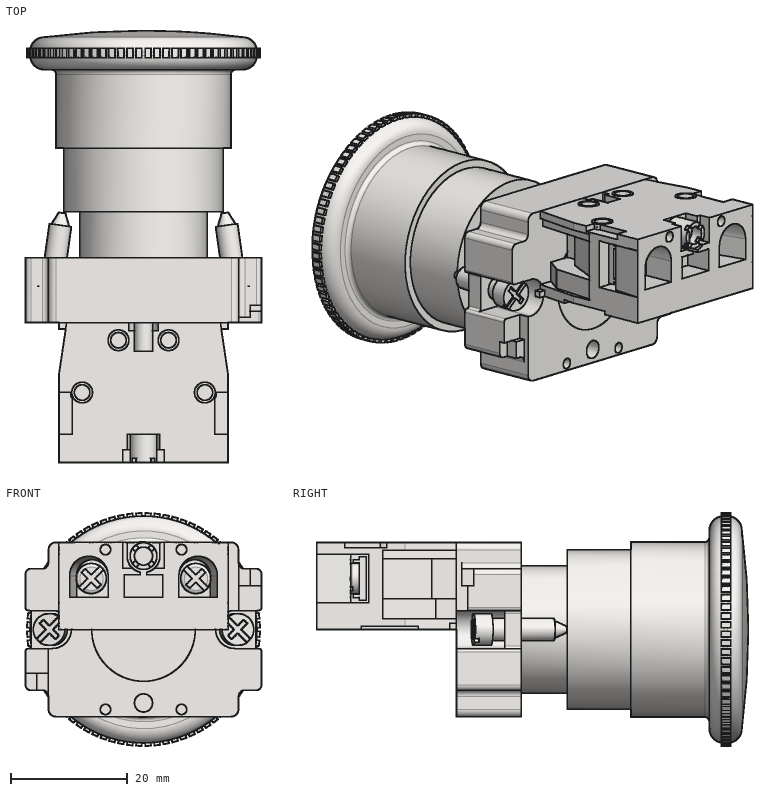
import cadquery as cq
import math


CAP_R = 19.45
RIM_ROUND = 2.5
CAP_BACK_Y = 43.3
CAP_SHOULDER_Y = 48.9
CAP_TOP_Y = 50.0
SKIRT_R = 15.0
SKIRT_END_Y = 29.9
SKIRT_FILLET = 0.75
KNURL_R = 20.0
KNURL_Y = 45.35
KNURL_WIDTH = 1.6
KNURL_TEETH = 80
KNURL_ROOT = 0.4
TOOTH_SHARE = 0.65

SHOULDER_R = 13.7
SHOULDER_END_Y = 18.95
NECK_R = 10.95
STEM_R = 8.9

BASE_DEPTH = 11.1
BASE_HALF_X = 16.3
BASE_HALF_Z = 14.95
EAR_HALF_X = 40.5 / 2
EAR_HALF_Z = 10.4
BASE_CORNER_R = 1.25
EAR_CORNER_R = 0.95
EAR_INNER_R = 1.0
SLOT_HALF_Z = 3.25
SLOT_CENTRE_X = 15.6
SLOT_CORNER_R = 0.5
PLATE_CORNER_R = 0.45
SLOT_FLOOR_Y = 8.3
CUT_MARGIN = 0.75
PLATE_HALF_X = 19.25
EAR_CUT_Y = 1.9
EAR_STEP_Z = 7.5
EAR_STEP_X = 18.3
EAR_CORNER_CUT_Y = 2.95
EAR_LIP_Y = 0.9

CLAMP_TILT = 8.0
CLAMP_X = 15.0
CLAMP_HEAD_R = 2.75
CLAMP_HEAD_H = 3.0
CLAMP_HEAD_FRONT = -8.3
CLAMP_SHANK_R = 1.9
CLAMP_SHANK_END = 5.6
CLAMP_POINT_END = 7.8
CLAMP_POINT_R = (1.55, 0.6)

CROSS_WIDTH = 0.9
CROSS_SHORT = 3.85
CROSS_DEPTH = 0.75

PIN_HOLE_R = 0.9
PIN_HOLE_X = 6.5
PIN_HOLE_Z = 13.7
PIN_HOLE_DEPTH = 1.85
FIXING_Z = 12.6
FIXING_R = 1.55
FIXING_HOLE_DEPTH = 5.55

BLOCK_HALF_X = 14.5
BLOCK_REAR_HALF_X = 13.2
BLOCK_LENGTH = 24.0
BLOCK_TAPER_LENGTH = 8.9
BLOCK_HEIGHT = BASE_HALF_Z
BOTTOM_PLATE = 1.85
TOP_PLATE = 1.3
SIDE_POCKET_LENGTH = 12.65
CORE_HALF_X = (12.6, 14.05)
UPPER_POCKET_Z = (5.25, 12.1)
UPPER_POCKET_END_X = 13.3
UPPER_POCKET_STEP = (6.45, 9.1, 4.2)
LOWER_TAPER = (10.5, 12.95, 3.55)
EDGE_NOTCH_WIDTH = 2.3
EDGE_NOTCH_Y = (-19.2, -11.9)
EDGE_NOTCH_DEPTH = 0.95
FOOT_NOTCH_Y = (-16.3, -6.5)
FOOT_NOTCH_DEPTH = 0.6
TAB_LENGTH = 1.1
TAB_HEIGHT = 1.0
RIVETS = ((10.5, -12.0), (4.3, -3.0))
RIVET_R = 1.3
RIVET_RING_R = 1.8
RIVET_RING_DEPTH = 0.6
RIVET_BOSS_R = 2.0

FIXING_HEAD_R = 2.3
FIXING_HEAD_Y = -19.2
FIXING_SOCKET_DEPTH = 2.2
FIXING_SLOT_HALF_X = 2.8
FIXING_MOUTH_HALF_X = 3.55
FIXING_MOUTH_Y = -21.8
FIXING_MOUTH_Z = 10.5
FIXING_SHAFT_END_Y = -4.95
FIXING_REAR_HALF_X = 2.5
FIXING_REAR_DEPTH = 1.4
WINDOW_HALF_X = 3.3
WINDOW_Z = (5.55, 9.4)
WINDOW_DEPTH = 4.8
SLIT_HALF_X = 0.6

TERMINAL_Z = 8.7
TERMINAL_X = 8.95
TERMINAL_HEAD_R = 2.6
TERMINAL_HEAD_ROUND = 0.6
TERMINAL_HEAD_Y = -18.5
CLAMP_PLATE_HALF = 3.7
CLAMP_PLATE_Y = (-16.65, -15.5)
LIP_X = (11.7, 12.65)
LIP_Z = (2.7, 3.25)
LIP_FRONT_Y = -17.7
TERMINAL_POCKET_Y = (-18.1, -15.0)
TERMINAL_POCKET_Z = (4.6, 12.9)
TERMINAL_POCKET_X = 5.2
RAMP_DEPTH = 0.75
MOUTH_INNER_X = 6.1
MOUTH_WIDTH = 6.6
MOUTH_NARROWING = 1.2
MOUTH_FLOOR_Z = 5.55
MOUTH_SPRING_Z = 9.25


def box(x, y, z):
    """Box between the given pairs of limits."""
    return (
        cq.Workplane("XY")
        .box(x[1] - x[0], y[1] - y[0], z[1] - z[0], centered=False)
        .translate((x[0], y[0], z[0]))
    )


def cylinder(radius, x, z, y_start, y_end):
    """Cylinder along Y with its axis at (x, z)."""
    start = cq.Vector(x, y_start, z)
    return cq.Workplane(cq.Solid.makeCylinder(radius, y_end - y_start, start, cq.Vector(0, 1, 0)))


def revolved(points):
    """Solid of revolution about Y from (radius, y) points."""
    return cq.Workplane("XY").polyline(points).close().revolve(360, (0, 0, 0), (0, 1, 0))


def prism_xy(points, z):
    """Outline in X and Y, extruded between two heights."""
    return cq.Workplane("XY").workplane(offset=z[0]).polyline(points).close().extrude(z[1] - z[0])


def round_edges(body, x, z, radius):
    """Round the edges of a body that pass through the four points (+-x, +-z) along Y."""
    near = 0.1
    for side in (-x, x):
        for height in (-z, z):
            selector = cq.selectors.BoxSelector(
                (side - near, 0, height - near), (side + near, BASE_DEPTH, height + near)
            )
            body = body.edges(selector).edges("|Y").fillet(radius)
    return body


def mirrored(shape):
    """The shape together with its mirror image across the plane x = 0."""
    return shape.union(shape.mirror("YZ"))


def cross_recess(long_arm):
    """Cross tool for a screw head facing -Y, with its mouth at the origin."""
    recess = cq.Workplane("XY")
    for length, angle in ((long_arm, -45), (CROSS_SHORT, 45)):
        arm = cq.Workplane("XY").box(length, CROSS_DEPTH, CROSS_WIDTH, centered=(True, False, True))
        recess = recess.union(arm.rotate((0, 0, 0), (0, 1, 0), angle))
    return recess


def knurl_ring():
    """Toothed ring with a gap, not a tooth, on each main axis."""
    pitch = 2 * math.pi / KNURL_TEETH
    half_tooth = pitch * TOOTH_SHARE / 2
    root_r = CAP_R - KNURL_ROOT
    points = []
    for tooth in range(KNURL_TEETH):
        middle = (tooth + 0.5) * pitch
        for radius, angle in (
            (root_r, middle - half_tooth),
            (KNURL_R, middle - half_tooth),
            (KNURL_R, middle + half_tooth),
            (root_r, middle + half_tooth),
        ):
            points.append((radius * math.cos(angle), radius * math.sin(angle)))
    ring = cq.Workplane("XZ").polyline(points).close().extrude(-KNURL_WIDTH)
    return ring.translate((0, KNURL_Y, 0))


def make_cap():
    flat_r = CAP_R - RIM_ROUND
    diagonal = RIM_ROUND * math.sqrt(0.5)
    back_round_y = CAP_BACK_Y + RIM_ROUND
    front_round_y = CAP_SHOULDER_Y - RIM_ROUND
    fillet_y = CAP_BACK_Y - SKIRT_FILLET
    fillet_mid = SKIRT_FILLET * (1 - math.sqrt(0.5))
    dome_rise = CAP_TOP_Y - CAP_SHOULDER_Y
    dome_r = (flat_r**2 + dome_rise**2) / (2 * dome_rise)
    dome_mid_r = flat_r / 2
    dome_mid_y = CAP_TOP_Y - dome_r + math.sqrt(dome_r**2 - dome_mid_r**2)
    profile = (
        cq.Workplane("XY")
        .moveTo(0, SKIRT_END_Y)
        .lineTo(SKIRT_R, SKIRT_END_Y)
        .lineTo(SKIRT_R, fillet_y)
        .threePointArc(
            (SKIRT_R + fillet_mid, CAP_BACK_Y - fillet_mid),
            (SKIRT_R + SKIRT_FILLET, CAP_BACK_Y),
        )
        .lineTo(flat_r, CAP_BACK_Y)
        .threePointArc((flat_r + diagonal, back_round_y - diagonal), (CAP_R, back_round_y))
        .lineTo(CAP_R, front_round_y)
        .threePointArc((flat_r + diagonal, front_round_y + diagonal), (flat_r, CAP_SHOULDER_Y))
        .threePointArc((dome_mid_r, dome_mid_y), (0, CAP_TOP_Y))
        .close()
    )
    return profile.revolve(360, (0, 0, 0), (0, 1, 0)).union(knurl_ring())


def make_collar():
    return revolved([
        (0, 0),
        (STEM_R, 0),
        (STEM_R, BASE_DEPTH),
        (NECK_R, BASE_DEPTH),
        (NECK_R, SHOULDER_END_Y),
        (SHOULDER_R, SHOULDER_END_Y),
        (SHOULDER_R, SKIRT_END_Y),
        (0, SKIRT_END_Y),
    ])


def base_body():
    depth = (0, BASE_DEPTH)
    middle = box((-BASE_HALF_X, BASE_HALF_X), depth, (-BASE_HALF_Z, BASE_HALF_Z))
    middle = middle.edges("|Y").fillet(BASE_CORNER_R)
    ears = box((-EAR_HALF_X, EAR_HALF_X), depth, (-EAR_HALF_Z, EAR_HALF_Z))
    ears = ears.edges("|Y").fillet(EAR_CORNER_R)
    body = middle.union(ears)
    return round_edges(body, BASE_HALF_X, EAR_HALF_Z, EAR_INNER_R)


def screw_slot():
    """Slot for the right clamping screw, with the plate left standing at its back."""
    outside = EAR_HALF_X + CUT_MARGIN
    slot = cylinder(SLOT_HALF_Z, SLOT_CENTRE_X, 0, 0, SLOT_FLOOR_Y)
    slot = slot.union(
        box((SLOT_CENTRE_X, outside), (0, SLOT_FLOOR_Y), (-SLOT_HALF_Z, SLOT_HALF_Z))
    )
    return slot.union(box((PLATE_HALF_X, outside), (0, BASE_DEPTH), (-SLOT_HALF_Z, SLOT_HALF_Z)))


def ear_cut():
    """Stepped cut in the front of the upper right ear."""
    outside = EAR_HALF_X + CUT_MARGIN
    top = EAR_HALF_Z + CUT_MARGIN
    ledge = box((BASE_HALF_X, outside), (0, EAR_CUT_Y), (SLOT_HALF_Z, EAR_STEP_Z))
    corner = box((EAR_STEP_X, outside), (0, EAR_CORNER_CUT_Y), (EAR_STEP_Z, top))
    lip = box((BASE_HALF_X, EAR_STEP_X), (0, EAR_LIP_Y), (EAR_STEP_Z, top + EAR_INNER_R))
    return ledge.union(corner).union(lip)


def clamp_screw():
    """Right clamping screw, tilted in place."""
    head_back = CLAMP_HEAD_FRONT + CLAMP_HEAD_H
    screw = revolved([
        (0, CLAMP_HEAD_FRONT),
        (CLAMP_HEAD_R, CLAMP_HEAD_FRONT),
        (CLAMP_HEAD_R, head_back),
        (CLAMP_SHANK_R, head_back),
        (CLAMP_SHANK_R, CLAMP_SHANK_END),
        (CLAMP_POINT_R[0], CLAMP_SHANK_END),
        (CLAMP_POINT_R[1], CLAMP_POINT_END),
        (0, CLAMP_POINT_END),
    ])
    recess = cross_recess(2 * CLAMP_HEAD_R).mirror("YZ")
    screw = screw.cut(recess.translate((0, CLAMP_HEAD_FRONT, 0)))
    screw = screw.rotate((0, 0, 0), (0, 0, 1), CLAMP_TILT)
    return screw.translate((CLAMP_X, BASE_DEPTH, 0))


def make_base():
    base = base_body().cut(mirrored(screw_slot()))
    base = round_edges(base, EAR_HALF_X, SLOT_HALF_Z, SLOT_CORNER_R)
    base = round_edges(base, PLATE_HALF_X, SLOT_HALF_Z, PLATE_CORNER_R)
    upper_right = ear_cut()
    base = base.cut(upper_right).cut(upper_right.rotate((0, 0, 0), (0, 1, 0), 180))
    base = base.cut(cylinder(STEM_R, 0, 0, 0, BASE_DEPTH))
    base = base.cut(cylinder(FIXING_R, 0, -FIXING_Z, 0, FIXING_HOLE_DEPTH))
    base = base.cut(mirrored(cylinder(PIN_HOLE_R, PIN_HOLE_X, -PIN_HOLE_Z, 0, PIN_HOLE_DEPTH)))
    return base.union(mirrored(clamp_screw()))


def tapered_plate(z):
    """Full outline of the block, narrowing towards the base."""
    right = [
        (BLOCK_HALF_X, -BLOCK_LENGTH),
        (BLOCK_HALF_X, -BLOCK_TAPER_LENGTH),
        (BLOCK_REAR_HALF_X, 0),
    ]
    left = [(-x, y) for x, y in reversed(right)]
    return prism_xy(right + left, z)


def block_body():
    top_plate_z = BLOCK_HEIGHT - TOP_PLATE
    body = tapered_plate((0, BOTTOM_PLATE)).union(tapered_plate((top_plate_z, BLOCK_HEIGHT)))
    front = box(
        (-BLOCK_HALF_X, BLOCK_HALF_X), (-BLOCK_LENGTH, -SIDE_POCKET_LENGTH), (0, BLOCK_HEIGHT)
    )
    rear_x, front_x = CORE_HALF_X
    core = prism_xy(
        [
            (-rear_x, 0),
            (-front_x, -SIDE_POCKET_LENGTH),
            (front_x, -SIDE_POCKET_LENGTH),
            (rear_x, 0),
        ],
        (0, top_plate_z),
    )
    return body.union(front).union(core)


def side_pocket():
    """Stepped hollow in the right side of the block next to the base."""
    inner_x, outer_x, step = UPPER_POCKET_STEP
    upper = prism_xy(
        [
            (BLOCK_HALF_X, 0),
            (inner_x, 0),
            (inner_x, -step),
            (outer_x, -step),
            (UPPER_POCKET_END_X, -SIDE_POCKET_LENGTH),
            (BLOCK_HALF_X, -SIDE_POCKET_LENGTH),
        ],
        UPPER_POCKET_Z,
    )
    taper_start, taper_end, taper_length = LOWER_TAPER
    lower = prism_xy(
        [(taper_start, 0), (taper_end, -taper_length), (BLOCK_HALF_X, -taper_length), (BLOCK_HALF_X, 0)],
        (BOTTOM_PLATE, UPPER_POCKET_Z[0]),
    )
    return upper.union(lower)


def edge_notches():
    """Shallow notches along the right upper and lower edges."""
    x = (BLOCK_HALF_X - EDGE_NOTCH_WIDTH, BLOCK_HALF_X)
    upper = box(x, EDGE_NOTCH_Y, (BLOCK_HEIGHT - EDGE_NOTCH_DEPTH, BLOCK_HEIGHT))
    lower = box(x, FOOT_NOTCH_Y, (0, FOOT_NOTCH_DEPTH))
    rivet_x, rivet_y = RIVETS[0]
    boss = cq.Workplane("XY").center(rivet_x, rivet_y).circle(RIVET_BOSS_R).extrude(BLOCK_HEIGHT)
    return upper.cut(boss).union(lower)


def rivet_rings():
    """Ring grooves around the rivet heads on the right half of the top face."""
    return (
        cq.Workplane("XY")
        .workplane(offset=BLOCK_HEIGHT - RIVET_RING_DEPTH)
        .pushPoints(RIVETS)
        .circle(RIVET_RING_R)
        .circle(RIVET_R)
        .extrude(RIVET_RING_DEPTH)
    )


def locating_tab():
    """Small tab at the lower right corner next to the base."""
    return box((BLOCK_REAR_HALF_X, BLOCK_HALF_X), (-TAB_LENGTH, 0), (0, TAB_HEIGHT))


def fixing_cavity():
    """Openings around the fixing screw and the window below it."""
    front = -BLOCK_LENGTH
    above = (FIXING_Z, BLOCK_HEIGHT)
    side = FIXING_SLOT_HALF_X
    mouth = FIXING_MOUTH_HALF_X
    rear = FIXING_REAR_HALF_X
    cavity = cylinder(side, 0, FIXING_Z, front, FIXING_HEAD_Y)
    cavity = cavity.union(box((-side, side), (front, FIXING_HEAD_Y), above))
    cavity = cavity.union(
        box((-mouth, mouth), (front, FIXING_MOUTH_Y), (FIXING_MOUTH_Z, BLOCK_HEIGHT))
    )
    cavity = cavity.union(box((-FIXING_R, FIXING_R), (FIXING_SHAFT_END_Y, 0), above))
    cavity = cavity.union(cylinder(rear, 0, FIXING_Z, -FIXING_REAR_DEPTH, 0))
    cavity = cavity.union(box((-rear, rear), (-FIXING_REAR_DEPTH, 0), above))
    window_y = (front, front + WINDOW_DEPTH)
    cavity = cavity.union(box((-WINDOW_HALF_X, WINDOW_HALF_X), window_y, WINDOW_Z))
    slit_z = (WINDOW_Z[1], FIXING_MOUTH_Z)
    return cavity.union(box((-SLIT_HALF_X, SLIT_HALF_X), window_y, slit_z))


def fixing_screw():
    """Screw head at the front and screw end at the base, on one axis."""
    front = -BLOCK_LENGTH
    head = cylinder(FIXING_HEAD_R, 0, FIXING_Z, front, FIXING_HEAD_Y)
    for angle in (45, -45):
        slot = box(
            (-FIXING_HEAD_R, FIXING_HEAD_R),
            (front, front + CROSS_DEPTH),
            (-CROSS_WIDTH / 2, CROSS_WIDTH / 2),
        )
        head = head.cut(slot.rotate((0, 0, 0), (0, 1, 0), angle).translate((0, 0, FIXING_Z)))
    head = head.cut(cylinder(FIXING_R, 0, FIXING_Z, front, front + FIXING_SOCKET_DEPTH))
    return head.union(cylinder(FIXING_R, 0, FIXING_Z, FIXING_SHAFT_END_Y, 0))


def arched_face(y, width):
    """Outline of the right terminal mouth at one depth: flat floor and round top."""
    radius = width / 2
    middle = MOUTH_INNER_X + radius
    return (
        cq.Workplane("XZ", origin=(0, y, 0))
        .moveTo(MOUTH_INNER_X, MOUTH_FLOOR_Z)
        .lineTo(MOUTH_INNER_X + width, MOUTH_FLOOR_Z)
        .lineTo(MOUTH_INNER_X + width, MOUTH_SPRING_Z)
        .threePointArc((middle, MOUTH_SPRING_Z + radius), (MOUTH_INNER_X, MOUTH_SPRING_Z))
        .close()
        .wire()
        .val()
    )


def terminal_cavity():
    """Front mouth, cross pocket and outside ramp of the right terminal."""
    pocket_front = TERMINAL_POCKET_Y[0]
    mouth = cq.Workplane(cq.Solid.makeLoft(
        [
            arched_face(-BLOCK_LENGTH, MOUTH_WIDTH),
            arched_face(pocket_front, MOUTH_WIDTH - MOUTH_NARROWING),
        ],
        True,
    ))
    pocket = box((TERMINAL_POCKET_X, BLOCK_HALF_X), TERMINAL_POCKET_Y, TERMINAL_POCKET_Z)
    ramp = prism_xy(
        [
            (BLOCK_HALF_X, -BLOCK_LENGTH),
            (BLOCK_HALF_X, pocket_front),
            (BLOCK_HALF_X - RAMP_DEPTH, pocket_front),
        ],
        TERMINAL_POCKET_Z,
    )
    return mouth.union(pocket).union(ramp)


def terminal_screw():
    """Clamp plate and screw head of the right terminal."""
    half = CLAMP_PLATE_HALF
    plate_front = CLAMP_PLATE_Y[0]
    plate = box(
        (TERMINAL_POCKET_X, TERMINAL_X + half),
        CLAMP_PLATE_Y,
        (TERMINAL_Z - half, TERMINAL_Z + half),
    )
    head = cylinder(TERMINAL_HEAD_R, TERMINAL_X, TERMINAL_Z, TERMINAL_HEAD_Y, plate_front)
    head = head.faces("<Y").edges().fillet(TERMINAL_HEAD_ROUND)
    recess = cross_recess(2 * TERMINAL_HEAD_R).mirror("YZ")
    head = head.cut(recess.translate((TERMINAL_X, TERMINAL_HEAD_Y, TERMINAL_Z)))
    terminal = plate.union(head)
    inner, outer = LIP_Z
    for z in ((TERMINAL_Z + inner, TERMINAL_Z + outer), (TERMINAL_Z - outer, TERMINAL_Z - inner)):
        terminal = terminal.union(box(LIP_X, (LIP_FRONT_Y, plate_front), z))
    return terminal


def make_contact_block():
    block = block_body()
    for cutter in (side_pocket(), edge_notches(), rivet_rings(), terminal_cavity()):
        block = block.cut(mirrored(cutter))
    block = block.cut(fixing_cavity())
    pin_hole_end = PIN_HOLE_DEPTH - BLOCK_LENGTH
    block = block.cut(mirrored(cylinder(PIN_HOLE_R, PIN_HOLE_X, PIN_HOLE_Z, -BLOCK_LENGTH, pin_hole_end)))
    block = block.union(mirrored(locating_tab()))
    block = block.union(mirrored(terminal_screw()))
    return block.union(fixing_screw())


cap = make_cap()
collar = make_collar()
base = make_base()
contact_block = make_contact_block()

result = cq.Compound.makeCompound([
    cap.solids().val(),
    collar.solids().val(),
    base.solids().val(),
    contact_block.solids().val(),
])